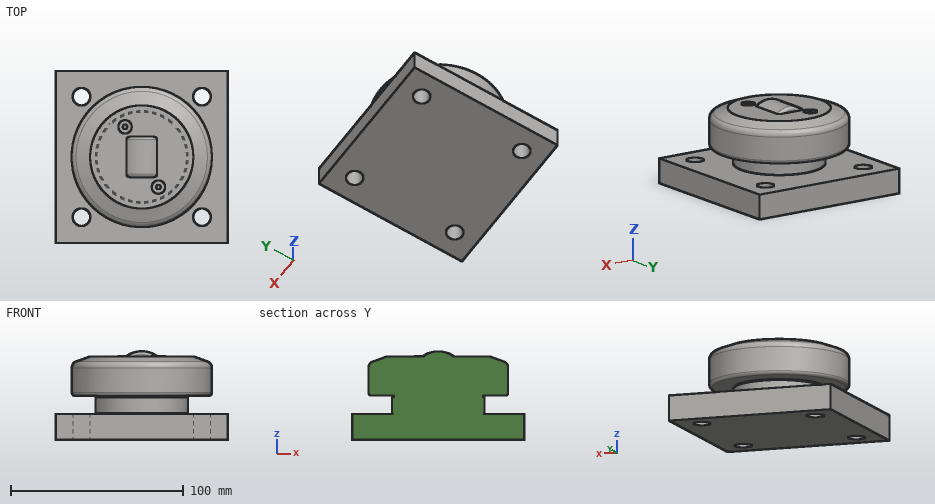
import cadquery as cq
import math

plate_side = 100.0
plate_thickness = 15.0
hole_diameter = 10.1
hole_spacing = 70.0

collar_diameter = 54.0
collar_top = 25.0
collar_chamfer = 0.4
neck_diameter = 52.0

head_radius = 40.8
head_bottom = 25.5
head_top = 48.5
head_flat_radius = 30.0
head_cone_angle = math.radians(20)
head_shoulder_radius = 4.0
head_bottom_fillet = 2.0

roller_radius = 15.0
roller_length = 24.0
roller_end_fillet = 2.0
roller_top = 51.5

screw_head_diameter = 7.8
screw_head_height = 0.3
screw_socket_flats = 2.5
screw_socket_depth = 0.3
screw_x = 9.7
screw_y = 17.5


def make_plate():
    """Square plate with four through holes."""
    return (
        cq.Workplane("XY")
        .box(plate_side, plate_side, plate_thickness, centered=(True, True, False))
        .faces(">Z")
        .workplane()
        .rect(hole_spacing, hole_spacing, forConstruction=True)
        .vertices()
        .hole(hole_diameter)
    )


def disc(diameter, bottom, top):
    """Plain disc on the Z axis."""
    return cq.Workplane("XY").workplane(offset=bottom).circle(diameter / 2).extrude(top - bottom)


def make_head():
    """Revolved head with a conical rim and a shoulder arc tangent to cone and side."""
    arc_center_r = head_radius - head_shoulder_radius
    cone_end_r = arc_center_r + head_shoulder_radius * math.sin(head_cone_angle)
    cone_end_z = head_top - (cone_end_r - head_flat_radius) * math.tan(head_cone_angle)
    arc_center_z = cone_end_z - head_shoulder_radius * math.cos(head_cone_angle)
    arc_middle_angle = (math.pi / 2 - head_cone_angle) / 2
    arc_middle = (
        arc_center_r + head_shoulder_radius * math.cos(arc_middle_angle),
        arc_center_z + head_shoulder_radius * math.sin(arc_middle_angle),
    )
    return (
        cq.Workplane("XZ")
        .moveTo(0, head_bottom)
        .lineTo(head_radius, head_bottom)
        .lineTo(head_radius, arc_center_z)
        .threePointArc(arc_middle, (cone_end_r, cone_end_z))
        .lineTo(head_flat_radius, head_top)
        .lineTo(0, head_top)
        .close()
        .revolve(360, (0, 0, 0), (0, 1, 0))
        .faces("<Z")
        .edges()
        .fillet(head_bottom_fillet)
    )


def make_roller():
    """Roller lying along Y, with rounded ends, mostly sunk in the head."""
    return (
        cq.Workplane("XZ")
        .center(0, roller_top - roller_radius)
        .circle(roller_radius)
        .extrude(roller_length / 2, both=True)
        .edges("%CIRCLE")
        .fillet(roller_end_fillet)
        .intersect(disc(2 * head_radius, head_bottom + head_bottom_fillet, roller_top))
    )


def make_socket(top):
    """Hexagonal socket cutter on the Z axis, with two corners along X."""
    across_corners = screw_socket_flats / math.cos(math.radians(30))
    return cq.Workplane("XY").workplane(offset=top).polygon(6, across_corners).extrude(-screw_socket_depth)


collar = disc(collar_diameter, plate_thickness, collar_top).edges("%CIRCLE").chamfer(collar_chamfer)

result = (
    make_plate()
    .union(collar)
    .union(disc(neck_diameter, collar_top, head_bottom))
    .union(make_head())
    .union(make_roller())
)

screw_top = head_top + screw_head_height
for x, y in ((-screw_x, screw_y), (screw_x, -screw_y)):
    screw_head = disc(screw_head_diameter, head_top, screw_top).translate((x, y, 0))
    socket = make_socket(screw_top).translate((x, y, 0))
    result = result.union(screw_head).cut(socket)